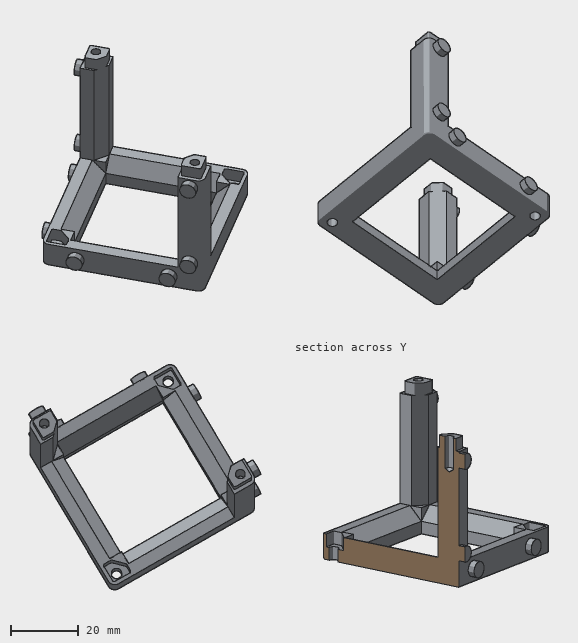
import cadquery as cq
import math

OVERALL_SIDE = 51.9
FRAME_SIDE = 49.7
BAR_WIDTH = 7.9
BAR_HEIGHT = 8.05
TOTAL_HEIGHT = 45.8
POST_TOP = 42.0
CORNER_RADIUS = 2.2
BOTTOM_RADIUS = 0.5
BAR_BEVEL = 4.15
POST_BEVEL = 3.65

TENON_HEIGHT = TOTAL_HEIGHT - POST_TOP
JOINT_OUTER_GAP = 1.15
JOINT_INNER_GAP = 0.6
JOINT_RADIUS = 0.5
SOCKET_BEVEL_INSET = 0.6
SOCKET_END_CLEARANCE = 0.2
SOCKET_DEPTH = TENON_HEIGHT + SOCKET_END_CLEARANCE

SCREW_INSET = 3.7
CLEARANCE_DIAMETER = 3.1
PILOT_DIAMETER = 2.8
PILOT_DEPTH = 9.85
PILOT_TIP = 0.85

PIN_DIAMETER = 4.95
PIN_LENGTH = OVERALL_SIDE - FRAME_SIDE
PIN_EDGE_INSET = 4.25
PIN_END_INSET = 10.6
PIN_ROOT = 1.55

HALF = FRAME_SIDE / 2
OPENING = FRAME_SIDE - 2 * BAR_WIDTH

POST_CORNERS = [(-1, 1), (1, -1)]
SOCKET_CORNERS = [(1, 1), (-1, -1)]


def to_corner(shape, corner):
    """Turn a shape made at the (-X, -Y) corner about Z to another corner."""
    angle = {(-1, -1): 0, (1, -1): 90, (1, 1): 180, (-1, 1): 270}[corner]
    return shape.rotate((0, 0, 0), (0, 0, 1), angle)


def bevelled_square(near, far, bevel):
    """Square from near to far, measured from both outer faces, with its inner corner cut off."""
    low = near - HALF
    high = far - HALF
    points = [(low, low), (high, low), (high, high - bevel), (high - bevel, high), (low, high)]
    return cq.Workplane("XY").polyline(points).close()


def joint_prism(height, bevel_inset):
    """Prism of a tenon or socket, with its bevel set in from the post's bevel plane."""
    far = BAR_WIDTH - JOINT_INNER_GAP
    bevel = POST_BEVEL - 2 * JOINT_INNER_GAP + bevel_inset * math.sqrt(2)
    prism = bevelled_square(JOINT_OUTER_GAP, far, bevel).extrude(height)
    return prism.edges("|Z").fillet(JOINT_RADIUS)


def frame():
    """Square ring of bars, with the bars bevelled between the four corner blocks."""
    ring = cq.Workplane("XY").rect(FRAME_SIDE, FRAME_SIDE).extrude(BAR_HEIGHT)
    ring = ring.edges("|Z").fillet(CORNER_RADIUS)
    ring = ring.faces("<Z").edges().fillet(BOTTOM_RADIUS)
    ring = ring.cut(cq.Workplane("XY").rect(OPENING, OPENING).extrude(BAR_HEIGHT))
    inner = OPENING / 2
    bevel = (
        cq.Workplane("XZ")
        .polyline([(inner, BAR_HEIGHT), (inner + BAR_BEVEL, BAR_HEIGHT), (inner, BAR_HEIGHT - BAR_BEVEL)])
        .close()
        .extrude(inner, both=True)
    )
    for side in range(4):
        ring = ring.cut(bevel.rotate((0, 0, 0), (0, 0, 1), 90 * side))
    return ring


def post():
    """Post with its tenon and blind pilot hole."""
    column = bevelled_square(0, BAR_WIDTH, POST_BEVEL).extrude(POST_TOP - BAR_HEIGHT)
    column = column.edges("|Z and <X and <Y").fillet(CORNER_RADIUS)
    column = column.translate((0, 0, BAR_HEIGHT))
    return column.union(joint_prism(TENON_HEIGHT, 0).translate((0, 0, POST_TOP)))


def pilot_hole():
    """Blind hole with a conical end, from the top of a tenon."""
    radius = PILOT_DIAMETER / 2
    profile = [(0, 0), (radius, 0), (radius, -PILOT_DEPTH), (0, -PILOT_DEPTH - PILOT_TIP)]
    hole = cq.Workplane("XZ").polyline(profile).close().revolve(360, (0, 0, 0), (0, 1, 0))
    axis = SCREW_INSET - HALF
    return hole.translate((axis, axis, POST_TOP + TENON_HEIGHT))


def socket():
    """Socket for a tenon, with a screw hole through its floor."""
    pocket = joint_prism(SOCKET_DEPTH, SOCKET_BEVEL_INSET).translate((0, 0, BAR_HEIGHT - SOCKET_DEPTH))
    axis = SCREW_INSET - HALF
    hole = cq.Workplane("XY").center(axis, axis).circle(CLEARANCE_DIAMETER / 2).extrude(BAR_HEIGHT)
    return pocket.union(hole)


def front_pins():
    """Four pins on the -Y face: two on the bar and two on the +X post."""
    first = PIN_END_INSET
    last = FRAME_SIDE - PIN_END_INSET
    post_line = FRAME_SIDE - PIN_EDGE_INSET
    places = [(first, PIN_EDGE_INSET), (last, PIN_EDGE_INSET), (post_line, first), (post_line, last)]
    return (
        cq.Workplane("XZ", origin=(-HALF, PIN_ROOT - HALF, 0))
        .pushPoints(places)
        .circle(PIN_DIAMETER / 2)
        .extrude(PIN_ROOT + PIN_LENGTH)
    )


result = frame()
for corner in POST_CORNERS:
    result = result.union(to_corner(post(), corner))
    result = result.cut(to_corner(pilot_hole(), corner))
for corner in SOCKET_CORNERS:
    result = result.cut(to_corner(socket(), corner))

pins = front_pins()
result = result.union(pins)
result = result.union(pins.mirror("YZ").rotate((0, 0, 0), (0, 0, 1), -90))